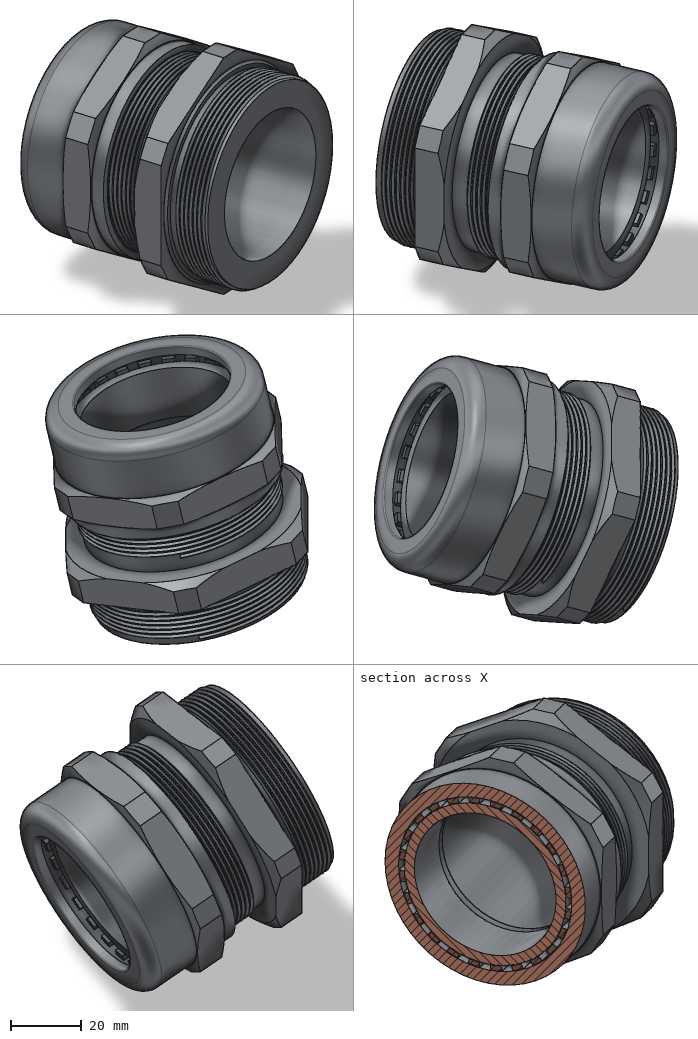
import cadquery as cq
import math


cap_length = 30.6
cap_dia = 63.1
cap_rim_dia = 63.0
dome_radius = 4.5
lip_thickness = 2.9
lip_bore_dia = 45.1
lip_rounding = 0.4
cage_cavity_dia = 54.3
cap_hex_start = 16.9
cap_hex_end = 26.6
cap_hex_flats = 63.9
cap_hex_corners = 69.3
cap_hex_chamfer = 1.05
cap_hex_face_dia = 63.5

body_front = 13.45
body_end = 66.1
neck_dia = 57.6
spigot_dia = 61.5
body_hex_start = 43.2
body_hex_end = 52.4
body_hex_flats = 68.0
body_hex_corners = 74.7
body_hex_chamfer = 1.95
body_hex_face_dia = 69.0
seal_seat = 23.15
seat_bore_dia = 45.1
seat_bore_end = 26.0
body_bore_dia = 45.0

thread_pitch = 1.5
thread_height = 0.75
thread_base = 1.1
thread_root_overlap = 0.15
neck_thread_end = 39.1
neck_thread_turns = 11
spigot_thread_end = 65.0
spigot_thread_turns = 7
thread_clearance = 0.1
cap_thread_bore_dia = neck_dia + 2 * (thread_height + thread_clearance)

cage_front = 5.8
cage_flange_thickness = 1.5
cage_flange_start = body_front - cage_flange_thickness
cage_flange_dia = 57.3
cage_dia = 54.2
cage_bore_dia = 50.9
finger_count = 24
finger_slot_width = 3.3

seal_front = 6.9
seal_dia = 50.8
seal_bore_dia = 44.4

gasket_thickness = 0.8
gasket_dia = 65.6
gasket_chamfer = 0.75


def cylinder(x_start, x_end, dia):
    """Solid cylinder on the X axis."""
    return cq.Workplane("YZ", origin=(x_start, 0, 0)).circle(dia / 2).extrude(x_end - x_start)


def cone(x_start, x_end, dia_start, dia_end):
    """Solid truncated cone on the X axis."""
    profile = [(x_start, 0), (x_start, dia_start / 2), (x_end, dia_end / 2), (x_end, 0)]
    return cq.Workplane("XY").polyline(profile).close().revolve(360, (0, 0, 0), (1, 0, 0))


def hexagon(x_start, x_end, flats, corners):
    """Hexagonal prism with two flats facing +Y and -Y and its six corners cut flat."""
    length = x_end - x_start
    full_corners = flats / math.cos(math.pi / 6)
    plane = cq.Workplane("YZ", origin=(x_start, 0, 0))
    prism = plane.transformed(rotate=(0, 0, 90)).polygon(6, full_corners).extrude(length)
    corner_cut_flats = corners / math.cos(math.pi / 6)
    corner_cutter = plane.polygon(6, corner_cut_flats).extrude(length)
    return prism.intersect(corner_cutter)


def corner_reach(flats, corners):
    """Diameter of the circle through the edges where the corner cuts meet the flats."""
    half_cut = (flats / math.cos(math.pi / 6) - corners) / 2 * math.tan(math.pi / 3)
    return 2 * math.hypot(corners / 2, half_cut)


def thread_ridge(root_dia, x_end, turns):
    """Right-hand helical ridge that starts and ends at the bottom (-Z) of the cylinder."""
    length = turns * thread_pitch
    root_radius = root_dia / 2
    crest_radius = root_radius + thread_height
    buried_radius = root_radius - thread_root_overlap
    helix = cq.Wire.makeHelix(thread_pitch, length, root_radius)
    buried_half_base = thread_base / 2 * (thread_height + thread_root_overlap) / thread_height
    section = [(buried_radius, -buried_half_base), (crest_radius, 0), (buried_radius, buried_half_base)]
    ridge = cq.Workplane("XZ").polyline(section).close().sweep(cq.Workplane(helix), isFrenet=True)
    return ridge.rotate((0, 0, 0), (0, 1, 0), 90).translate((x_end - length, 0, 0))


def make_cap():
    cap = cylinder(0, cap_hex_end, cap_dia).cut(cylinder(0, lip_thickness, lip_bore_dia))
    cap = cap.faces("<X").edges(cq.selectors.RadiusNthSelector(1)).fillet(dome_radius)
    cap = cap.faces("<X").edges(cq.selectors.RadiusNthSelector(0)).fillet(lip_rounding)
    cap = cap.union(cylinder(cap_hex_end, cap_length, cap_rim_dia))

    hex_reach = corner_reach(cap_hex_flats, cap_hex_corners)
    hex_ring = hexagon(cap_hex_start, cap_hex_end, cap_hex_flats, cap_hex_corners)
    front_cone_end = cap_hex_start + cap_hex_chamfer
    rear_cone_start = cap_hex_end - cap_hex_chamfer
    chamfered = (
        cone(cap_hex_start, front_cone_end, cap_hex_face_dia, hex_reach)
        .union(cylinder(front_cone_end, rear_cone_start, hex_reach))
        .union(cone(rear_cone_start, cap_hex_end, hex_reach, cap_hex_face_dia))
    )
    cap = cap.union(hex_ring.intersect(chamfered))

    cap = cap.cut(cylinder(lip_thickness, cage_flange_start, cage_cavity_dia))
    return cap.cut(cylinder(cage_flange_start, cap_length, cap_thread_bore_dia))


def make_body():
    neck = cylinder(body_front, body_hex_start, neck_dia)
    neck = neck.union(thread_ridge(neck_dia, neck_thread_end, neck_thread_turns))
    spigot = cylinder(body_hex_end, body_end, spigot_dia)
    spigot = spigot.union(thread_ridge(spigot_dia, spigot_thread_end, spigot_thread_turns))

    hex_reach = corner_reach(body_hex_flats, body_hex_corners)
    cone_end = body_hex_start + body_hex_chamfer
    chamfered = cone(body_hex_start, cone_end, body_hex_face_dia, hex_reach).union(
        cylinder(cone_end, body_hex_end, hex_reach)
    )
    flange = hexagon(body_hex_start, body_hex_end, body_hex_flats, body_hex_corners).intersect(chamfered)

    body = neck.union(flange).union(spigot)
    body = body.cut(cylinder(body_front, seal_seat, cage_bore_dia))
    body = body.cut(cylinder(seal_seat, seat_bore_end, seat_bore_dia))
    return body.cut(cylinder(seat_bore_end, body_end, body_bore_dia))


def make_cage():
    cage = cylinder(cage_front, cage_flange_start, cage_dia)
    cage = cage.union(cylinder(cage_flange_start, body_front, cage_flange_dia))
    cage = cage.cut(cylinder(cage_front, body_front, cage_bore_dia))
    slot_length = cage_flange_start - cage_front
    slot = cq.Workplane("XY").box(slot_length, cage_flange_dia, finger_slot_width)
    slot = slot.translate((cage_front + slot_length / 2, 0, 0))
    for index in range(finger_count // 2):
        cage = cage.cut(slot.rotate((0, 0, 0), (1, 0, 0), index * 360 / finger_count))
    return cage


def make_seal():
    return cylinder(seal_front, seal_seat, seal_dia).cut(cylinder(seal_front, seal_seat, seal_bore_dia))


def make_gasket():
    gasket_end = body_hex_end + gasket_thickness
    gasket = cylinder(body_hex_end, gasket_end, gasket_dia).faces(">X").edges().chamfer(gasket_chamfer)
    return gasket.cut(cylinder(body_hex_end, gasket_end, spigot_dia))


cap = make_cap()
body = make_body()
cage = make_cage()
seal = make_seal()
gasket = make_gasket()

bodies = [cap, body, cage, seal, gasket]
result = cq.Compound.makeCompound([solid_body.solids().val() for solid_body in bodies])